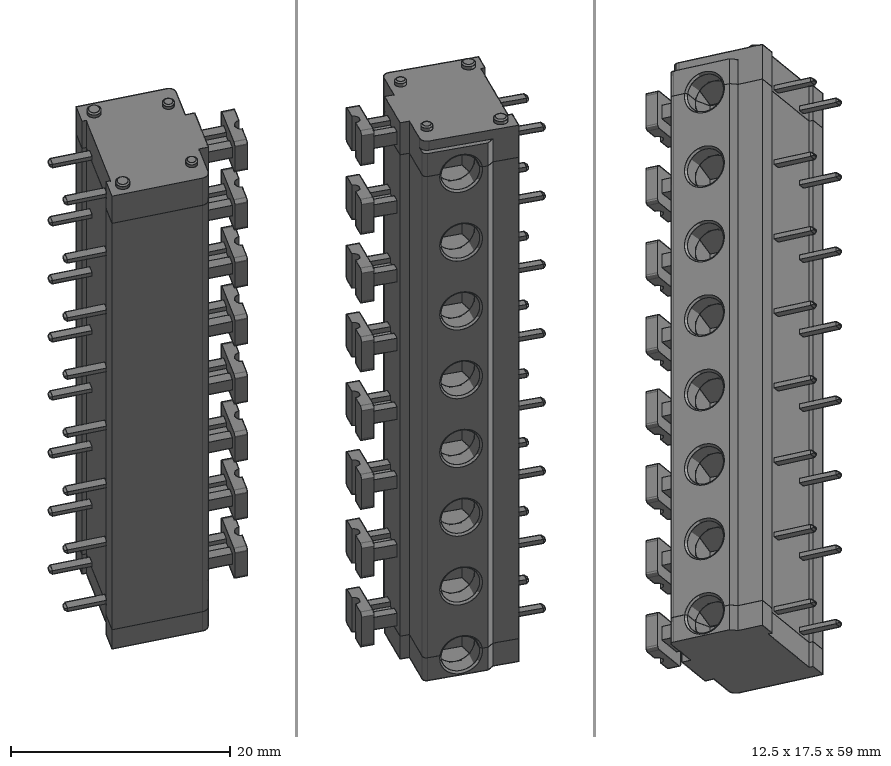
import cadquery as cq

PITCH = 7.5
WAYS = 8
BASE_HEIGHT = 2.5
TOP_HEIGHT = 3.5
BLOCK_TOP = BASE_HEIGHT + (WAYS - 1) * PITCH
HOUSING_HEIGHT = BLOCK_TOP + TOP_HEIGHT

WIDTH = 12.0
DEPTH = 9.3
BACK_CORNER_RADIUS = 0.7
FOOT_WIDTH = 1.95
FOOT_HEIGHT = 0.4
STEP_WIDTH = 4.6
STEP_BACK = 10.2

LIP_THICKNESS = 0.5
LIP_CORNER_RADIUS = 0.4
LIP_TOP = HOUSING_HEIGHT - 1.0
LIP_FRONT_OUTER = 3.1
LIP_FRONT_INNER = 2.5

ENTRY_DIAMETER = 3.7
ENTRY_RIM = 0.2
ENTRY_DEPTH = 1.8
ENTRY_Y = 5.7
ENTRY_FIRST_Z = 2.2
FUNNEL_DEPTH = 1.65
FLOOR_WIDTH = 2.4
FLOOR_HEIGHT = 1.85
FLOOR_DROP = 0.55

PLUNGER_FIRST_Z = 3.8
HEAD_WIDTH = STEP_WIDTH
HEAD_HEIGHT = 3.75
HEAD_FRONT = 12.7
HEAD_BACK = 13.9
HEAD_CORNER_RADIUS = 0.35
HEAD_GROOVE_DIAMETER = 1.1
STEM_WIDTH = 2.9
STEM_HEIGHT = 1.35
STEM_GROOVE_WIDTH = 1.1
STEM_GROOVE_DEPTH = 0.5

PIN_FIRST_Z = 3.0
PIN_SPACING = 5.0
PIN_WIDTH = 0.8
PIN_THICKNESS = 0.45
PIN_TIP_Y = -3.6
PIN_TIP_INSET = 0.15
PIN_TIP_LENGTH = 0.25

PEG_HEIGHT = 0.5
PEG_CHAMFER = 0.15
BACK_PEG_DIAMETER = 1.1
BACK_PEG_X = 3.9
BACK_PEG_Y = 8.15
FRONT_PEG_DIAMETER = 1.3
FRONT_PEG_X = 4.8
FRONT_PEG_Y = 1.35


def span_box(x_range, y_range, z_range):
    """Box between the given limits on each axis."""
    size = [high - low for low, high in (x_range, y_range, z_range)]
    low_corner = (x_range[0], y_range[0], z_range[0])
    return cq.Workplane("XY").box(*size, centered=False).translate(low_corner)


def housing_shell():
    """Full-height housing section with its feet, rear step and entry lip."""
    half = WIDTH / 2
    outer = -half - LIP_THICKNESS
    full_height = (0, HOUSING_HEIGHT)
    core = span_box((-half, half), (0, DEPTH), full_height).edges("|Z and >Y").fillet(BACK_CORNER_RADIUS)
    recess_half = half - FOOT_WIDTH
    recess = span_box((-recess_half, recess_half), (0, FOOT_HEIGHT), full_height)
    step = span_box((-STEP_WIDTH / 2, STEP_WIDTH / 2), (DEPTH / 2, STEP_BACK), full_height)
    lip = (
        cq.Workplane("XY")
        .moveTo(-half, LIP_FRONT_INNER)
        .lineTo(outer, LIP_FRONT_OUTER)
        .lineTo(outer, DEPTH - LIP_CORNER_RADIUS)
        .radiusArc((outer + LIP_CORNER_RADIUS, DEPTH), LIP_CORNER_RADIUS)
        .lineTo(-half + BACK_CORNER_RADIUS, DEPTH)
        .lineTo(-half + BACK_CORNER_RADIUS, LIP_FRONT_INNER)
        .close()
        .extrude(LIP_TOP)
    )
    return core.cut(recess).union(step).union(lip)


def wire_entry(z):
    """Void of one wire entry: conical rim, round bore and a funnel sloping to a small flat floor."""
    radius = ENTRY_DIAMETER / 2
    mouth = cq.Workplane("YZ", origin=(-WIDTH / 2 - LIP_THICKNESS, ENTRY_Y, z))
    bore = mouth.circle(radius).extrude(ENTRY_DEPTH)
    rim = mouth.circle(radius + ENTRY_RIM).workplane(offset=ENTRY_RIM).circle(radius).loft()
    funnel = (
        mouth.workplane(offset=ENTRY_DEPTH)
        .rect(ENTRY_DIAMETER, ENTRY_DIAMETER)
        .workplane(offset=FUNNEL_DEPTH)
        .center(0, -FLOOR_DROP)
        .rect(FLOOR_WIDTH, FLOOR_HEIGHT)
        .loft()
    )
    return bore.union(rim).union(funnel)


def plunger(z):
    """Grooved push head on a channelled stem behind the rear step."""
    head = span_box(
        (-HEAD_WIDTH / 2, HEAD_WIDTH / 2), (HEAD_FRONT, HEAD_BACK), (z - HEAD_HEIGHT / 2, z + HEAD_HEIGHT / 2)
    )
    head = head.edges("|Y").fillet(HEAD_CORNER_RADIUS)
    groove = (
        cq.Workplane("XY", origin=(0, HEAD_BACK, z - HEAD_HEIGHT / 2))
        .circle(HEAD_GROOVE_DIAMETER / 2)
        .extrude(HEAD_HEIGHT)
    )
    stem_span = (STEP_BACK, HEAD_FRONT)
    stem_top = z + STEM_HEIGHT / 2
    stem = span_box((-STEM_WIDTH / 2, STEM_WIDTH / 2), stem_span, (z - STEM_HEIGHT / 2, stem_top))
    channel = span_box(
        (-STEM_GROOVE_WIDTH / 2, STEM_GROOVE_WIDTH / 2), stem_span, (stem_top - STEM_GROOVE_DEPTH, stem_top)
    )
    return head.cut(groove).union(stem.cut(channel))


def pin_pair(z):
    """Two flat solder pins whose ends taper on all four sides."""
    tip_shoulder_y = PIN_TIP_Y + PIN_TIP_LENGTH
    tip_inset = 2 * PIN_TIP_INSET
    pin = (
        cq.Workplane("XZ", origin=(0, FOOT_HEIGHT, z))
        .rect(PIN_WIDTH, PIN_THICKNESS)
        .extrude(FOOT_HEIGHT - tip_shoulder_y)
    )
    tip = (
        cq.Workplane("XZ", origin=(0, tip_shoulder_y, z))
        .rect(PIN_WIDTH, PIN_THICKNESS)
        .workplane(offset=PIN_TIP_LENGTH)
        .rect(PIN_WIDTH - tip_inset, PIN_THICKNESS - tip_inset)
        .loft()
    )
    tipped_pin = pin.union(tip)
    offset = PIN_SPACING / 2
    return tipped_pin.translate((-offset, 0, 0)).union(tipped_pin.translate((offset, 0, 0)))


def peg_pair(x, y, diameter):
    """Two chamfered round pegs on the top face, mirrored about X = 0."""
    return (
        cq.Workplane("XY", origin=(0, 0, HOUSING_HEIGHT))
        .pushPoints([(-x, y), (x, y)])
        .circle(diameter / 2)
        .extrude(PEG_HEIGHT)
        .faces(">Z")
        .edges()
        .chamfer(PEG_CHAMFER)
    )


def housing_slice(bottom, top):
    """The part of the pierced housing between two heights."""
    reach = WIDTH
    return housing.intersect(span_box((-reach, reach), (-reach, reach), (bottom, top)))


def add_terminals(body, ways):
    """Adds the plunger and the solder pins of each listed way."""
    for way in ways:
        rise = way * PITCH
        body = body.union(plunger(PLUNGER_FIRST_Z + rise)).union(pin_pair(PIN_FIRST_Z + rise))
    return body


housing = housing_shell()
for entry in range(WAYS):
    housing = housing.cut(wire_entry(ENTRY_FIRST_Z + entry * PITCH))

base_plate = housing_slice(0, BASE_HEIGHT)

terminal_block = add_terminals(housing_slice(BASE_HEIGHT, BLOCK_TOP), range(WAYS - 1))

top_module = add_terminals(housing_slice(BLOCK_TOP, HOUSING_HEIGHT), [WAYS - 1])
top_module = top_module.union(peg_pair(BACK_PEG_X, BACK_PEG_Y, BACK_PEG_DIAMETER))
top_module = top_module.union(peg_pair(FRONT_PEG_X, FRONT_PEG_Y, FRONT_PEG_DIAMETER))

result = cq.Compound.makeCompound([base_plate.val(), terminal_block.val(), top_module.val()])